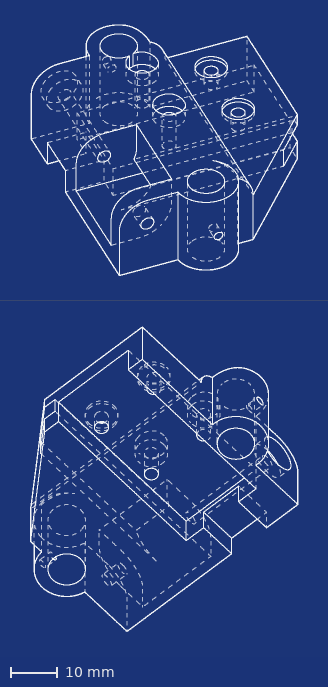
import cadquery as cq

block_length = 49.0
block_depth = 50.0
height = 19.0
deck_height = 12.5
round_radius = height - deck_height
step_y = 31.0
corner_cut_x = 28.0

barrel_diameter = 14.0
bore_diameter = 8.0
barrel_y = 20.5
left_barrel_x = -0.5
right_barrel_x = 48.0
set_screw_diameter = 2.0
left_set_screw_z = height / 2
right_set_screw_z = 9.1

pin_diameter = 3.0
pin_head_diameter = 8.5
pin_head_depth = 3.0
pin_y = round_radius
pin_z = deck_height

notch_left = 25.0
notch_right = 44.5
notch_radius = 7.5
channel_width = 9.5
channel_height = 4.5

slot_center_x = 14.0
slot_width = 10.0
slot_height = 6.0
recess_width = 20.0
recess_front = 9.0
recess_height = 7.5

screw_spacing_x = 15.0
front_screw_y = 23.0
rear_screw_y = 39.0
screw_diameter = 3.0
screw_head_diameter = 7.0
front_head_depth = 3.5
rear_head_depth = 1.0


def box(x0, x1, y0, y1, z0, z1):
    return cq.Workplane("XY").box(x1 - x0, y1 - y0, z1 - z0, centered=False).translate((x0, y0, z0))


def upright_cylinder(x, y, z0, z1, diameter):
    return cq.Workplane("XY", origin=(x, y, z0)).circle(diameter / 2).extrude(z1 - z0)


def cross_cylinder(x0, x1, y, z, diameter):
    return cq.Workplane("YZ", origin=(x0, y, z)).circle(diameter / 2).extrude(x1 - x0)


def side_profile(x0, x1):
    """Stepped side outline with quarter-round front and rear of the raised part."""
    outline = (
        cq.Workplane("YZ", origin=(x0, 0, 0))
        .lineTo(block_depth, 0)
        .lineTo(block_depth, deck_height)
        .lineTo(step_y, deck_height)
        .radiusArc((step_y - round_radius, height), -round_radius)
        .lineTo(round_radius, height)
        .radiusArc((0, deck_height), -round_radius)
        .close()
    )
    return outline.extrude(x1 - x0)


def main_block():
    corner = (
        cq.Workplane("XY")
        .moveTo(corner_cut_x, block_depth)
        .lineTo(block_length, step_y)
        .lineTo(block_length, block_depth)
        .close()
        .extrude(height)
    )
    return side_profile(0, block_length).cut(corner)


def front_notch():
    """Opening around the hinge pin: flat floor, concave lower back, upright upper back."""
    floor_z = pin_z - notch_radius
    back_y = pin_y + notch_radius
    opening = (
        cq.Workplane("YZ", origin=(notch_left, 0, 0))
        .moveTo(0, floor_z)
        .lineTo(pin_y, floor_z)
        .radiusArc((back_y, pin_z), -notch_radius)
        .lineTo(back_y, height)
        .lineTo(0, height)
        .close()
        .extrude(notch_right - notch_left)
    )
    channel = box(
        notch_left, notch_left + channel_width,
        0, block_depth,
        floor_z, floor_z + channel_height,
    )
    return opening.union(channel)


def underside_cuts():
    slot_left = slot_center_x - slot_width / 2
    recess_left = slot_center_x - recess_width / 2
    slot = box(slot_left, slot_left + slot_width, 0, block_depth, 0, slot_height)
    recess = box(recess_left, recess_left + recess_width, recess_front, block_depth, 0, recess_height)
    return slot.union(recess)


def screw_hole(x, y, top_z, head_depth):
    shank = upright_cylinder(x, y, 0, top_z, screw_diameter)
    head = upright_cylinder(x, y, top_z - head_depth, top_z, screw_head_diameter)
    return shank.union(head)


body = main_block().cut(front_notch()).cut(underside_cuts())

left_end = left_barrel_x - barrel_diameter / 2
left_barrel = upright_cylinder(left_barrel_x, barrel_y, 0, height, barrel_diameter)
left_barrel = left_barrel.intersect(side_profile(left_end, 0))
right_barrel = upright_cylinder(right_barrel_x, barrel_y, 0, height, barrel_diameter)
body = body.union(left_barrel).union(right_barrel)

right_end = right_barrel_x + barrel_diameter / 2
for barrel_x in (left_barrel_x, right_barrel_x):
    body = body.cut(upright_cylinder(barrel_x, barrel_y, 0, height, bore_diameter))
body = body.cut(cross_cylinder(left_end, left_barrel_x, barrel_y, left_set_screw_z, set_screw_diameter))
body = body.cut(cross_cylinder(right_barrel_x, right_end, barrel_y, right_set_screw_z, set_screw_diameter))

body = body.cut(cross_cylinder(0, block_length, pin_y, pin_z, pin_diameter))
body = body.cut(cross_cylinder(0, pin_head_depth, pin_y, pin_z, pin_head_diameter))

for side in (-1, 1):
    screw_x = slot_center_x + side * screw_spacing_x / 2
    body = body.cut(screw_hole(screw_x, front_screw_y, height, front_head_depth))
    body = body.cut(screw_hole(screw_x, rear_screw_y, deck_height, rear_head_depth))

result = body